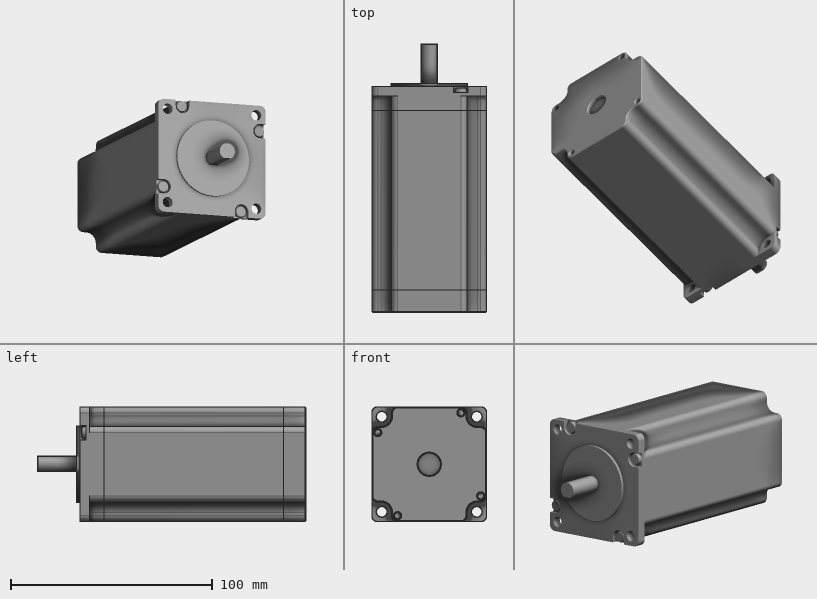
import cadquery as cq
import math


FRAME = 57.0
HALF = FRAME / 2
SHAFT_END = 21.0
MOTOR_LENGTH = 112.0

FLANGE_THICKNESS = 4.8
FLANGE_CORNER_RADIUS = 3.0
FRONT_COVER_LENGTH = 12.0
PILOT_DIAMETER = 38.1
PILOT_HEIGHT = 1.6
MOUNT_HOLE_DIAMETER = 5.2
MOUNT_HOLE_SPACING = 47.14

SHAFT_DIAMETER = 8.0
SHAFT_FLAT_OFFSET = 3.5

SCOOP_RADIUS = 5.15
SCOOP_WALL = 18.7
SHOULDER_RADIUS = 3.0

REAR_COVER_LENGTH = 11.2
REAR_EDGE_CHAMFER = 0.5
REAR_RECESS_DIAMETER = 11.2
REAR_RECESS_DEPTH = 2.0
REAR_RECESS_CHAMFER = 0.4
STATOR_LENGTH = MOTOR_LENGTH - FRONT_COVER_LENGTH - REAR_COVER_LENGTH

SCREW_COUNT = 4
SCREW_X = SCOOP_WALL - SHOULDER_RADIUS
SCREW_Z = HALF - SHOULDER_RADIUS
SCREW_DIAMETER = 3.0
SCREW_HEAD_DIAMETER = 5.8
SCREW_HEAD_HEIGHT = 2.1
SCREW_HEAD_TOP_DIAMETER = 5.0
SCREW_HEAD_SIDE_RADIUS = 3.0
SCREW_HEAD_RIM_WIDTH = 0.1
SCREW_HEAD_RIM_HEIGHT = 0.4
SCREW_TIP_RECESS = 3.0
SCREW_HOLE_CHAMFER = 0.5
SEAT_WIDTH = 7.2
SEAT_DEPTH = 2.9


def plane_at(y):
    """Workplane across the motor axis: local x is X, local y is Z, extrusion goes to -Y."""
    return cq.Workplane("XZ", origin=(0, y, 0))


def turned(shape, index):
    """Turn a shape about the motor axis to screw station number index."""
    return shape.rotate((0, 0, 0), (0, -1, 0), index * 360 / SCREW_COUNT)


class ShoulderSelector(cq.Selector):
    """Lengthwise edges where a scoop wall meets an outer side of the block."""

    def filter(self, edges):
        tolerance = 1e-3
        found = []
        for edge in edges:
            centre = edge.Center()
            reach = sorted((abs(centre.x), abs(centre.z)))
            if math.dist(reach, (SCOOP_WALL, HALF)) < tolerance:
                found.append(edge)
        return found


def body_block(front_y, length):
    """Square prism scooped out at each corner, with rounded shoulders beside the scoops."""
    block = plane_at(front_y).rect(FRAME, FRAME).extrude(length)
    corners = plane_at(front_y).rect(FRAME, FRAME, forConstruction=True).vertices()
    scoop_side = 2 * (HALF - SCOOP_WALL)
    scoops = corners.rect(scoop_side, scoop_side).extrude(length).edges("|Y").fillet(SCOOP_RADIUS)
    return block.cut(scoops).edges(ShoulderSelector()).fillet(SHOULDER_RADIUS)


def screw_holes():
    """Four cylinders along the whole motor, filled by the screws up to their tips."""
    hole = plane_at(0).center(SCREW_X, SCREW_Z).circle(SCREW_DIAMETER / 2).extrude(MOTOR_LENGTH)
    return [turned(hole, index) for index in range(SCREW_COUNT)]


def cut_screw_holes(body):
    for hole in screw_holes():
        body = body.cut(hole)
    return body


def screw_seat():
    """U-shaped seat for a screw head, round inside and open at the flange's side."""
    half_width = SEAT_WIDTH / 2
    return (
        plane_at(0)
        .moveTo(SCREW_X - half_width, HALF)
        .lineTo(SCREW_X - half_width, SCREW_Z)
        .threePointArc((SCREW_X, SCREW_Z - half_width), (SCREW_X + half_width, SCREW_Z))
        .lineTo(SCREW_X + half_width, HALF)
        .close()
        .extrude(SEAT_DEPTH)
    )


def make_shaft():
    shaft = plane_at(SHAFT_END).circle(SHAFT_DIAMETER / 2).extrude(SHAFT_END - PILOT_HEIGHT)
    flat_height = SHAFT_DIAMETER / 2 + SHAFT_FLAT_OFFSET
    flat_centre = (SHAFT_DIAMETER / 2 - SHAFT_FLAT_OFFSET) / 2
    keep = (
        plane_at(SHAFT_END)
        .center(0, flat_centre)
        .rect(SHAFT_DIAMETER, flat_height)
        .extrude(SHAFT_END - PILOT_HEIGHT)
    )
    return shaft.intersect(keep)


def make_front_cover():
    """Flange, pilot and output shaft with the front part of the body outline."""
    flange = plane_at(0).rect(FRAME, FRAME).extrude(FLANGE_THICKNESS)
    flange = flange.edges("|Y").fillet(FLANGE_CORNER_RADIUS)
    mount_holes = (
        plane_at(0)
        .rect(MOUNT_HOLE_SPACING, MOUNT_HOLE_SPACING, forConstruction=True)
        .vertices()
        .circle(MOUNT_HOLE_DIAMETER / 2)
        .extrude(FLANGE_THICKNESS)
    )
    pilot = plane_at(PILOT_HEIGHT).circle(PILOT_DIAMETER / 2).extrude(PILOT_HEIGHT)
    neck = body_block(-FLANGE_THICKNESS, FRONT_COVER_LENGTH - FLANGE_THICKNESS)
    cover = flange.cut(mount_holes).union(neck)
    for index in range(SCREW_COUNT):
        cover = cover.cut(turned(screw_seat(), index))
    cover = cut_screw_holes(cover)
    return cover.union(pilot).union(make_shaft())


def make_stator():
    return cut_screw_holes(body_block(-FRONT_COVER_LENGTH, STATOR_LENGTH))


def make_rear_cover():
    cover = body_block(-FRONT_COVER_LENGTH - STATOR_LENGTH, REAR_COVER_LENGTH)
    cover = cover.faces("<Y").chamfer(REAR_EDGE_CHAMFER)
    recess = (
        plane_at(REAR_RECESS_DEPTH - MOTOR_LENGTH)
        .circle(REAR_RECESS_DIAMETER / 2)
        .extrude(REAR_RECESS_DEPTH)
    )
    cover = cover.cut(recess)
    cover = cover.cut(rear_countersink(0, 0, REAR_RECESS_DIAMETER, REAR_RECESS_CHAMFER))
    cover = cut_screw_holes(cover)
    mouth = rear_countersink(SCREW_X, SCREW_Z, SCREW_DIAMETER, SCREW_HOLE_CHAMFER)
    for index in range(SCREW_COUNT):
        cover = cover.cut(turned(mouth, index))
    return cover


def rear_countersink(x, z, diameter, chamfer):
    """45 degree cone that breaks the mouth of a round opening in the rear face."""
    radius = diameter / 2
    cone = cq.Solid.makeCone(
        radius + chamfer, radius, chamfer, cq.Vector(x, -MOTOR_LENGTH, z), cq.Vector(0, 1, 0)
    )
    return cq.Workplane(obj=cone)


def make_screw(index):
    """Screw with its pan head in a flange seat and its tip sunk below the rear face."""
    head_base = -SEAT_DEPTH
    head_top = head_base + SCREW_HEAD_HEIGHT
    base_radius = SCREW_HEAD_DIAMETER / 2
    top_radius = SCREW_HEAD_TOP_DIAMETER / 2
    rim_radius = top_radius + SCREW_HEAD_RIM_WIDTH
    head = (
        cq.Workplane("XY", origin=(SCREW_X, 0, SCREW_Z))
        .moveTo(0, head_base)
        .lineTo(base_radius, head_base)
        .radiusArc((rim_radius, head_top - SCREW_HEAD_RIM_HEIGHT), -SCREW_HEAD_SIDE_RADIUS)
        .lineTo(top_radius, head_top)
        .lineTo(0, head_top)
        .close()
        .revolve(360, (0, 0), (0, 1))
    )
    shank_length = MOTOR_LENGTH - SEAT_DEPTH - SCREW_TIP_RECESS
    shank = (
        plane_at(-SEAT_DEPTH)
        .center(SCREW_X, SCREW_Z)
        .circle(SCREW_DIAMETER / 2)
        .extrude(shank_length)
    )
    return turned(head.union(shank), index)


front_cover = make_front_cover()
stator = make_stator()
rear_cover = make_rear_cover()
screws = [make_screw(index) for index in range(SCREW_COUNT)]

result = cq.Compound.makeCompound(
    [front_cover.val(), stator.val(), rear_cover.val(), *[screw.val() for screw in screws]]
)